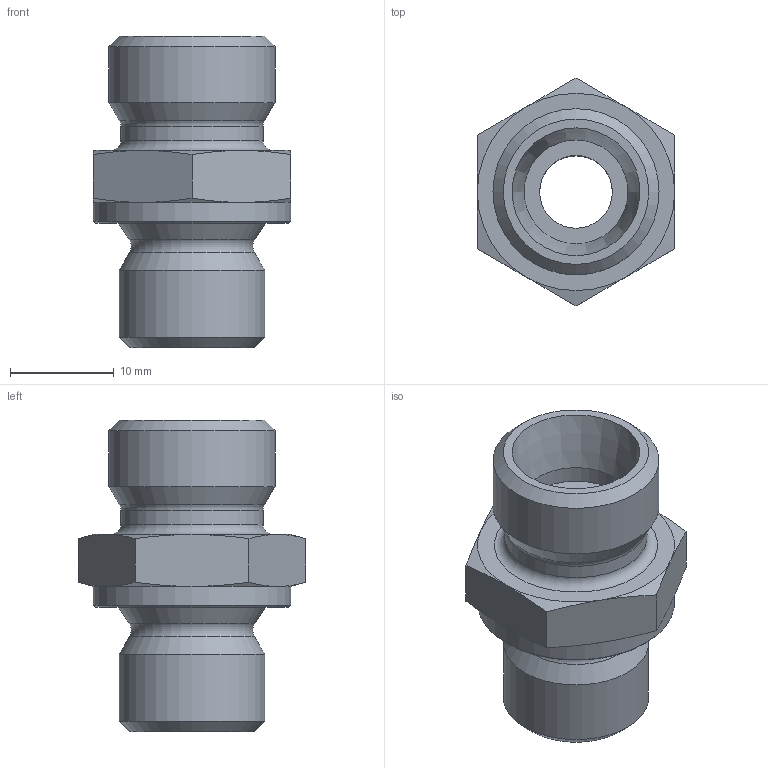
import cadquery as cq
import math

total_height = 30.0
collar_bottom = 12.0
hex_bottom = 14.0
hex_top = 19.0

across_flats = 19.0
corner_chamfer_angle = 15.0
hex_sides = 6
collar_radius = across_flats / 2
collar_edge_chamfer = 0.2

tube_end_radius = 16.0 / 2
stud_radius = 14.0 / 2
end_chamfer = 1.0

thread_undercut = 2.3 / 2
runout_angle = 30.0
tube_end_fillet = 1.0
tube_end_neck_height = 1.35
stud_runout_start = 7.45
stud_neck_fillet = 1.2
seat_cone_angle = 33.5

bore_diameter = 7.0
socket_radius = 10.0 / 2
socket_mouth_radius = 12.3 / 2
socket_depth = 7.0
socket_cone_half_angle = 12.0


def arc_point(center, radius, degrees):
    """Point on a circle in the radius-height plane, angle counted from the outward direction."""
    angle = math.radians(degrees)
    return (center[0] + radius * math.cos(angle), center[1] + radius * math.sin(angle))


def runout_height(radial_step):
    """Height of a thread run-out cone that covers the given radial step."""
    return radial_step / math.tan(math.radians(runout_angle))


def make_tube_end():
    """Upper threaded end with its filleted undercut, standing on the hexagon."""
    neck_radius = tube_end_radius - thread_undercut
    fillet_axis_radius = neck_radius + tube_end_fillet
    base_center = (fillet_axis_radius, hex_top + tube_end_fillet)
    runout_center = (fillet_axis_radius, base_center[1] + tube_end_neck_height)
    runout_start = arc_point(runout_center, tube_end_fillet, 180 - runout_angle)
    thread_start = runout_start[1] + runout_height(tube_end_radius - runout_start[0])
    return (
        cq.Workplane("XZ")
        .moveTo(0, hex_top)
        .lineTo(fillet_axis_radius, hex_top)
        .threePointArc(arc_point(base_center, tube_end_fillet, 225), (neck_radius, base_center[1]))
        .lineTo(neck_radius, runout_center[1])
        .threePointArc(arc_point(runout_center, tube_end_fillet, 180 - runout_angle / 2), runout_start)
        .lineTo(tube_end_radius, thread_start)
        .lineTo(tube_end_radius, total_height - end_chamfer)
        .lineTo(tube_end_radius - end_chamfer, total_height)
        .lineTo(0, total_height)
        .close()
        .revolve(360, (0, 0), (0, 1))
    )


def make_stud():
    """Lower threaded end with a rounded neck and the cone that meets the collar."""
    neck_radius = stud_radius - thread_undercut
    fillet_axis_radius = neck_radius + stud_neck_fillet
    runout_end_radius = fillet_axis_radius - stud_neck_fillet * math.cos(math.radians(runout_angle))
    runout_end = stud_runout_start + runout_height(stud_radius - runout_end_radius)
    fillet_axis_height = runout_end + stud_neck_fillet * math.sin(math.radians(runout_angle))
    fillet_center = (fillet_axis_radius, fillet_axis_height)
    cone_start = arc_point(fillet_center, stud_neck_fillet, 180 - seat_cone_angle)
    cone_height = collar_bottom - cone_start[1]
    cone_mouth_radius = cone_start[0] + cone_height * math.tan(math.radians(seat_cone_angle))
    return (
        cq.Workplane("XZ")
        .moveTo(0, 0)
        .lineTo(stud_radius - end_chamfer, 0)
        .lineTo(stud_radius, end_chamfer)
        .lineTo(stud_radius, stud_runout_start)
        .lineTo(runout_end_radius, runout_end)
        .threePointArc((neck_radius, fillet_axis_height), cone_start)
        .lineTo(cone_mouth_radius, collar_bottom)
        .lineTo(0, collar_bottom)
        .close()
        .revolve(360, (0, 0), (0, 1))
    )


def make_collar():
    """Round collar with a small chamfer on its lower edge."""
    return (
        cq.Workplane("XY", origin=(0, 0, collar_bottom))
        .circle(collar_radius)
        .extrude(hex_bottom - collar_bottom)
        .faces("<Z")
        .chamfer(collar_edge_chamfer)
    )


def make_hexagon():
    """Hexagon with corners along Y, its corners chamfered conically at both ends."""
    flat_radius = across_flats / 2
    corner_radius = flat_radius / math.cos(math.pi / hex_sides)
    corner_drop = (corner_radius - flat_radius) * math.tan(math.radians(corner_chamfer_angle))
    prism = (
        cq.Workplane("XY", origin=(0, 0, hex_bottom))
        .transformed(rotate=(0, 0, 90))
        .polygon(hex_sides, 2 * corner_radius)
        .extrude(hex_top - hex_bottom)
    )
    envelope = (
        cq.Workplane("XZ")
        .moveTo(0, hex_bottom)
        .lineTo(flat_radius, hex_bottom)
        .lineTo(corner_radius, hex_bottom + corner_drop)
        .lineTo(corner_radius, hex_top - corner_drop)
        .lineTo(flat_radius, hex_top)
        .lineTo(0, hex_top)
        .close()
        .revolve(360, (0, 0), (0, 1))
    )
    return prism.intersect(envelope)


def make_socket():
    """Tube socket: a cone at the mouth, then a short cylinder with a flat floor."""
    cone_depth = (socket_mouth_radius - socket_radius) / math.tan(math.radians(socket_cone_half_angle))
    return (
        cq.Workplane("XZ")
        .moveTo(0, total_height)
        .lineTo(socket_mouth_radius, total_height)
        .lineTo(socket_radius, total_height - cone_depth)
        .lineTo(socket_radius, total_height - socket_depth)
        .lineTo(0, total_height - socket_depth)
        .close()
        .revolve(360, (0, 0), (0, 1))
    )


def make_bore():
    """Through hole along the axis."""
    return cq.Workplane("XY").circle(bore_diameter / 2).extrude(total_height)


body = make_stud().union(make_collar()).union(make_hexagon()).union(make_tube_end())
result = body.cut(make_socket()).cut(make_bore())